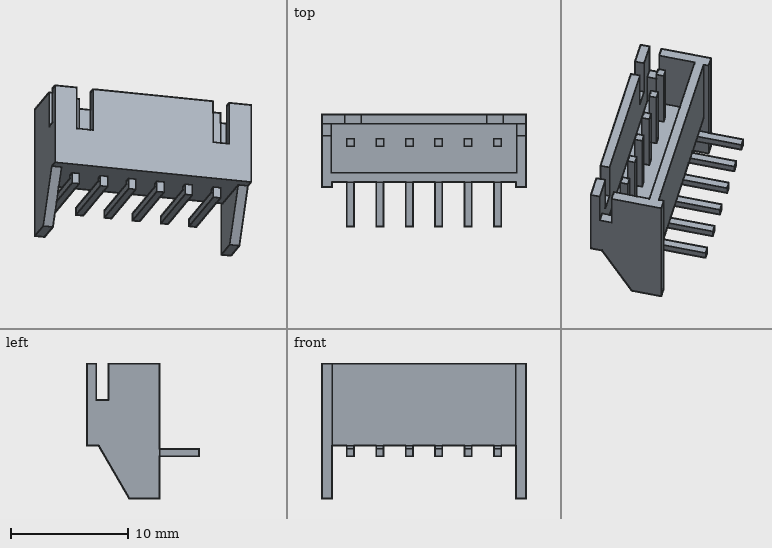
import cadquery as cq


length = 17.4
wall = 0.8
housing_height = 7.0
housing_depth = 5.76
floor_thickness = wall

plate_thickness = 0.87
plate_depth = 6.2
plate_height = 11.5
heel_depth = 1.0
foot_start = 3.6

side_slot_width = 1.03
side_slot_height = 3.1
rear_slot_width = 1.43
rear_slot_height = 3.72
rear_slot_offset = 1.95

pin_count = 6
pin_pitch = 2.5
pin_size = 0.65
pin_depth = 2.4
pin_top = 0.21
pin_tail_bottom = 7.92
pin_reach = 9.55


def box(x_range, y_range, z_range):
    """Box spanning the given (low, high) limits along each axis."""
    low, high = zip(x_range, y_range, z_range)
    size = [b - a for a, b in zip(low, high)]
    return cq.Workplane("XY").box(*size, centered=False).translate(low)


def end_plate(start_x):
    """Side plate whose rear lower corner slopes down to a narrow foot."""
    outline = [
        (0, 0),
        (-plate_depth, 0),
        (-plate_depth, -plate_height),
        (-foot_start, -plate_height),
        (-heel_depth, -housing_height),
        (0, -housing_height),
    ]
    plate = cq.Workplane("YZ").polyline(outline).close().extrude(plate_thickness)
    return plate.translate((start_x, 0, 0))


def pin(center_x):
    """Square pin standing in the cavity, bent to leave below the housing toward -Y."""
    half = pin_size / 2
    across = (center_x - half, center_x + half)
    post = box(across, (-pin_depth - half, -pin_depth + half), (-pin_tail_bottom, -pin_top))
    tail = box(across, (-pin_reach, -pin_depth + half), (-pin_tail_bottom, -pin_tail_bottom + pin_size))
    return post.union(tail)


half_length = length / 2
inner_half_length = half_length - wall

result = box((-half_length, half_length), (-housing_depth, 0), (-housing_height, 0))
for plate_start in (-half_length, half_length - plate_thickness):
    result = result.union(end_plate(plate_start))
result = result.cut(
    box(
        (-inner_half_length, inner_half_length),
        (wall - housing_depth, -wall),
        (floor_thickness - housing_height, 0),
    )
)

result = result.cut(
    box((-half_length, half_length), (-wall - side_slot_width, -wall), (-side_slot_height, 0))
)

for slot_start in (
    -half_length + rear_slot_offset,
    half_length - rear_slot_offset - rear_slot_width,
):
    result = result.cut(
        box((slot_start, slot_start + rear_slot_width), (-wall, 0), (-rear_slot_height, 0))
    )

for index in range(pin_count):
    result = result.union(pin((index - (pin_count - 1) / 2) * pin_pitch))